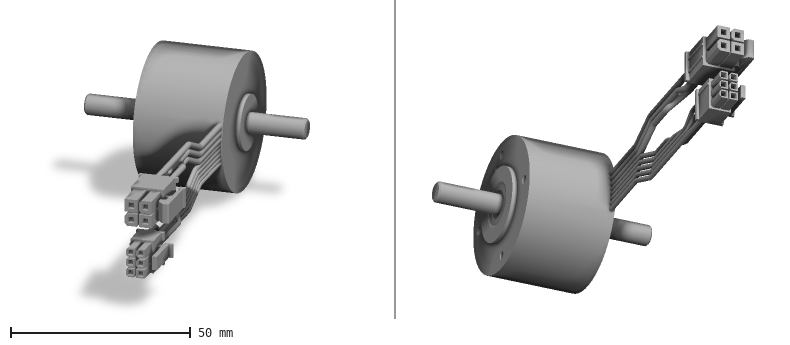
import cadquery as cq
import math


BODY_RADIUS = 20.0
BODY_LENGTH = 26.1
FRONT_BOSS_RADIUS = 11.0
REAR_BOSS_RADIUS = 8.0
BOSS_HEIGHT = 1.4

BEARING_RIM_RADIUS = 6.6
BEARING_FACE_RADIUS = 5.9
BEARING_RIM_DEPTH = 0.2
SHAFT_GAP_RADIUS = 4.15
SHAFT_GAP_DEPTH = 0.5

SCREW_HOLE_RADIUS = 1.25
SCREW_HOLE_DEPTH = 4.0
SCREW_CIRCLE_RADIUS = 16.0
SCREW_HOLE_COUNT = 4
DRILL_HALF_ANGLE = 59.0
DRILL_POINT_DEPTH = SCREW_HOLE_RADIUS / math.tan(math.radians(DRILL_HALF_ANGLE))
LOCATING_HOLE_RADIUS = 1.25
LOCATING_HOLE_DEPTH = 2.0
LOCATING_CIRCLE_RADIUS = 13.5
LOCATING_HOLE_ANGLE = 75.0

SHAFT_RADIUS = 3.0
SHAFT_LENGTH = 64.5
SHAFT_FRONT_END = -20.0
SHAFT_CHAMFER = 0.5

LEAD_START_Y = -17.0
LEAD_INSERTION = 2.0
LEAD_BEND_RADIUS = 3.0
FAN_RUN = 10.1
FAN_STAGGER = 1.05

POWER_LEAD_RADIUS = 0.9
POWER_LEAD_PITCH = 1.85
POWER_TOP_Z = 5.4
POWER_FAN_RISE = 4.4
POWER_BEND_Y = -36.9

SIGNAL_LEAD_RADIUS = 0.7
SIGNAL_LEAD_PITCH = 1.42
SIGNAL_TOP_Z = 0.1
SIGNAL_FAN_DROP = 4.25
SIGNAL_BEND_Y = -36.7

CONNECTOR_END_Y = -98.9
POWER_SETBACK = 0.3
FLANGE_THICKNESS = 1.15
LATCH_CLEARANCE = 0.5
GUIDE_RIB_HEIGHT = 0.4
GUIDE_RIB_WIDTH = 0.6

POWER_CONNECTOR = dict(
    columns=[25.1, 29.3],
    rows=[9.9, 5.7],
    pin_block=3.7,
    block_chamfer=0.8,
    cavity=1.75,
    chamfered_pins=[(1, 0), (0, 1)],
    body_width=9.5,
    body_height=9.2,
    flange_margin=1.0,
    flange_y=-79.3,
    shoulder_y=-90.2,
    end_y=CONNECTOR_END_Y + POWER_SETBACK,
    rib_rows=[9.85, 5.85],
)
SIGNAL_CONNECTOR = dict(
    columns=[25.0, 28.0],
    rows=[-3.9, -6.9, -9.9],
    pin_block=2.5,
    block_chamfer=0.6,
    cavity=1.6,
    chamfered_pins=[(0, 0), (0, 1), (0, 2), (1, 0), (1, 1)],
    body_width=6.7,
    body_height=9.6,
    flange_margin=0.75,
    flange_y=-84.6,
    shoulder_y=-92.7,
    end_y=CONNECTOR_END_Y,
    rib_rows=[-3.9],
)

POWER_LATCH_WIDTH = 5.7
POWER_LATCH_ARM_WIDTH = 4.4
POWER_LATCH_TOP_X = 35.8
POWER_LEVER_X = (33.6, 35.4)
POWER_LEVER_Y = (-96.4, -81.7)
POWER_STEP_X = 34.7
POWER_GRIP_X = 34.0
POWER_GRIP_LENGTH = 1.5
POWER_ROOT_Y = (-89.3, -88.0)
POWER_HOOK_TIP_X = 32.0
POWER_HOOK_Y = -92.9
POWER_HOOK_LEAD_IN = 1.6
POWER_LEVER_CHAMFER = 0.4

SIGNAL_LATCH_WIDTH = 4.0
SIGNAL_LEVER_X = (30.9, 32.3)
SIGNAL_LATCH_TOP_X = 33.4
SIGNAL_LEVER_Y = (-97.3, -85.8)
SIGNAL_GRIP_LENGTH = 0.8
SIGNAL_ROOT_Y = (-89.0, -87.5)


def box_between(x_range, y_range, z_range):
    """Box spanning the given (low, high) ranges."""
    size = [high - low for low, high in (x_range, y_range, z_range)]
    corner = cq.Vector(x_range[0], y_range[0], z_range[0])
    return cq.Workplane(obj=cq.Solid.makeBox(*size, corner))


def span(centre, size):
    """Low and high ends of a size centred on a place."""
    return (centre - size / 2, centre + size / 2)


def disc(radius, x_start, length):
    """Cylinder along +X, centred on the motor axis."""
    return cq.Workplane("YZ", origin=(x_start, 0, 0)).circle(radius).extrude(length)


def make_screw_hole(angle):
    """Drilled hole with a conical bottom in the mounting face."""
    y = SCREW_CIRCLE_RADIUS * math.cos(angle)
    z = SCREW_CIRCLE_RADIUS * math.sin(angle)
    profile = [
        (0, 0),
        (0, SCREW_HOLE_RADIUS),
        (SCREW_HOLE_DEPTH, SCREW_HOLE_RADIUS),
        (SCREW_HOLE_DEPTH + DRILL_POINT_DEPTH, 0),
    ]
    hole = cq.Workplane("XY").polyline(profile).close().revolve(360, (0, 0), (1, 0))
    return hole.translate((0, y, z))


def make_locating_hole():
    angle = math.radians(LOCATING_HOLE_ANGLE)
    y = LOCATING_CIRCLE_RADIUS * math.cos(angle)
    z = LOCATING_CIRCLE_RADIUS * math.sin(angle)
    return disc(LOCATING_HOLE_RADIUS, 0, LOCATING_HOLE_DEPTH).translate((0, y, z))


def make_bearing_recess():
    """Recess with a sloped rim, and a deeper ring next to the shaft."""
    face_x = -BOSS_HEIGHT
    floor_x = face_x + BEARING_RIM_DEPTH
    gap_x = face_x + SHAFT_GAP_DEPTH
    profile = [
        (face_x, 0),
        (face_x, BEARING_RIM_RADIUS),
        (floor_x, BEARING_FACE_RADIUS),
        (floor_x, SHAFT_GAP_RADIUS),
        (gap_x, SHAFT_GAP_RADIUS),
        (gap_x, 0),
    ]
    return cq.Workplane("XY").polyline(profile).close().revolve(360, (0, 0), (1, 0))


def make_housing():
    housing = disc(BODY_RADIUS, 0, BODY_LENGTH)
    housing = housing.union(disc(FRONT_BOSS_RADIUS, -BOSS_HEIGHT, BOSS_HEIGHT))
    housing = housing.union(disc(REAR_BOSS_RADIUS, BODY_LENGTH, BOSS_HEIGHT))
    for index in range(SCREW_HOLE_COUNT):
        housing = housing.cut(make_screw_hole(2 * math.pi * index / SCREW_HOLE_COUNT))
    housing = housing.cut(make_locating_hole())
    housing = housing.cut(make_bearing_recess())
    shaft_bore = disc(SHAFT_RADIUS, -BOSS_HEIGHT, BODY_LENGTH + 2 * BOSS_HEIGHT)
    return housing.cut(shaft_bore)


def make_lead(points, radius):
    """Round lead along a bent line, with an arc at each inner point."""
    points = [cq.Vector(*point) for point in points]
    edges = []
    start = points[0]
    for before, corner, after in zip(points, points[1:], points[2:]):
        incoming = (corner - before).normalized()
        outgoing = (after - corner).normalized()
        half_turn = incoming.getAngle(outgoing) / 2
        tangent_length = LEAD_BEND_RADIUS * math.tan(half_turn)
        sagitta = LEAD_BEND_RADIUS * (1 / math.cos(half_turn) - 1)
        arc_start = corner - incoming * tangent_length
        arc_middle = corner + (outgoing - incoming).normalized() * sagitta
        arc_end = corner + outgoing * tangent_length
        edges.append(cq.Edge.makeLine(start, arc_start))
        edges.append(cq.Edge.makeThreePointArc(arc_start, arc_middle, arc_end))
        start = arc_end
    edges.append(cq.Edge.makeLine(start, points[-1]))
    path = cq.Wire.assembleEdges(edges)
    section = cq.Workplane(cq.Plane(points[0], (1, 0, 0), (0, -1, 0))).circle(radius)
    return section.sweep(cq.Workplane(obj=path))


def lead_points(start_z, bend_y, fan_rise, connector, pin, spread=None):
    """Lead from the housing, through the fanned ribbon in line with the first column, to a pin (column, row).

    The spread, when given, holds the Y places where the lead leaves the ribbon and reaches its pin line.
    """
    lead_x = connector["columns"][0]
    fan_z = start_z + fan_rise
    points = [(lead_x, LEAD_START_Y, start_z), (lead_x, bend_y, start_z), (lead_x, bend_y - FAN_RUN, fan_z)]
    end_y = connector["flange_y"] - LEAD_INSERTION
    if spread is None:
        return points + [(lead_x, end_y, fan_z)]
    leave_y, reach_y = spread
    column, row = pin
    pin_x = connector["columns"][column]
    pin_z = connector["rows"][row]
    return points + [(lead_x, leave_y, fan_z), (pin_x, reach_y, pin_z), (pin_x, end_y, pin_z)]


def make_power_leads():
    pins = [(0, 0), (0, 1), (1, 0)]
    spreads = [None, (-66.1, -71.8), (-58.4, -64.2)]
    leads = []
    for index, (pin, spread) in enumerate(zip(pins, spreads)):
        start_z = POWER_TOP_Z - index * POWER_LEAD_PITCH
        bend_y = POWER_BEND_Y - index * FAN_STAGGER
        points = lead_points(start_z, bend_y, POWER_FAN_RISE, POWER_CONNECTOR, pin, spread)
        leads.append(make_lead(points, POWER_LEAD_RADIUS))
    return leads


def make_signal_leads():
    pins = [(1, 1), (1, 0), (0, 0), (0, 1), (0, 2)]
    spreads = [(-59.5, -64.0), (-64.0, -69.0), (-72.2, -76.7), (-73.1, -77.8), None]
    leads = []
    for index, (pin, spread) in enumerate(zip(pins, spreads)):
        start_z = SIGNAL_TOP_Z - index * SIGNAL_LEAD_PITCH
        bend_y = SIGNAL_BEND_Y - (len(pins) - 1 - index) * FAN_STAGGER
        points = lead_points(start_z, bend_y, -SIGNAL_FAN_DROP, SIGNAL_CONNECTOR, pin, spread)
        leads.append(make_lead(points, SIGNAL_LEAD_RADIUS))
    return leads


def make_connector(spec, latch_width):
    """Flanged body with one plug block and one cavity per pin; the last pin is open right through."""
    centre_x = sum(spec["columns"]) / len(spec["columns"])
    centre_z = sum(spec["rows"]) / len(spec["rows"])
    body_x = span(centre_x, spec["body_width"])
    body_z = span(centre_z, spec["body_height"])
    flange_y = spec["flange_y"]
    shoulder_y = spec["shoulder_y"]
    end_y = spec["end_y"]
    flange_y_range = (flange_y - FLANGE_THICKNESS, flange_y)

    connector = box_between(body_x, (shoulder_y, flange_y), body_z)
    flange_x = span(centre_x, spec["body_width"] + 2 * spec["flange_margin"])
    connector = connector.union(box_between(flange_x, flange_y_range, body_z))
    gap_z = span(centre_z, latch_width + 2 * LATCH_CLEARANCE)
    latch_gap = box_between((body_x[1], flange_x[1]), flange_y_range, gap_z)
    connector = connector.cut(latch_gap)

    for row_z in spec["rib_rows"]:
        rib_x = (body_x[0] - GUIDE_RIB_HEIGHT, body_x[0])
        rib = box_between(rib_x, (shoulder_y, flange_y), span(row_z, GUIDE_RIB_WIDTH))
        connector = connector.union(rib)

    open_pin = (len(spec["columns"]) - 1, len(spec["rows"]) - 1)
    for column, x in enumerate(spec["columns"]):
        for row, z in enumerate(spec["rows"]):
            block = box_between(span(x, spec["pin_block"]), (end_y, shoulder_y), span(z, spec["pin_block"]))
            if (column, row) in spec["chamfered_pins"]:
                block = block.faces("<X").edges("|Y").chamfer(spec["block_chamfer"])
            connector = connector.union(block)
            cavity_end = flange_y if (column, row) == open_pin else shoulder_y
            cavity = box_between(span(x, spec["cavity"]), (end_y, cavity_end), span(z, spec["cavity"]))
            connector = connector.cut(cavity)
    return connector


def extrude_latch(outline, centre_z, width):
    """Latch profile in the XY plane, extruded evenly to both sides of a height."""
    return cq.Workplane("XY", origin=(0, 0, centre_z)).polyline(outline).close().extrude(width / 2, both=True)


def make_power_latch():
    """Lever with a grip at the top and a hook at the tip, held by a narrower arm."""
    centre_x = sum(POWER_CONNECTOR["columns"]) / 2
    centre_z = sum(POWER_CONNECTOR["rows"]) / 2
    body_side = centre_x + POWER_CONNECTOR["body_width"] / 2
    inner_x, outer_x = POWER_LEVER_X
    tip_y, top_y = POWER_LEVER_Y
    grip_y = top_y - POWER_GRIP_LENGTH
    lever = extrude_latch(
        [
            (POWER_GRIP_X, top_y),
            (POWER_LATCH_TOP_X, top_y),
            (POWER_LATCH_TOP_X, grip_y),
            (outer_x, grip_y),
            (outer_x, tip_y + POWER_LEVER_CHAMFER),
            (outer_x - POWER_LEVER_CHAMFER, tip_y),
            (POWER_HOOK_TIP_X + POWER_HOOK_LEAD_IN, tip_y),
            (POWER_HOOK_TIP_X, tip_y + POWER_HOOK_LEAD_IN),
            (POWER_HOOK_TIP_X, POWER_HOOK_Y),
            (inner_x, POWER_HOOK_Y),
            (inner_x, grip_y),
            (POWER_GRIP_X, grip_y),
        ],
        centre_z,
        POWER_LATCH_WIDTH,
    )
    root_low, root_high = POWER_ROOT_Y
    inner_strip = box_between((inner_x, POWER_STEP_X), (root_low, grip_y), span(centre_z, POWER_LATCH_WIDTH))
    arm_z = span(centre_z, POWER_LATCH_ARM_WIDTH)
    narrow_strip = box_between((inner_x, POWER_STEP_X), (root_low, grip_y), arm_z)
    root = box_between((body_side, inner_x), (root_low, root_high), arm_z)
    return lever.cut(inner_strip).union(narrow_strip).union(root)


def make_signal_latch():
    """Lever with an outward grip at the top, held by a short root on the body."""
    centre_x = sum(SIGNAL_CONNECTOR["columns"]) / 2
    centre_z = SIGNAL_CONNECTOR["rows"][1]
    body_side = centre_x + SIGNAL_CONNECTOR["body_width"] / 2
    inner_x, outer_x = SIGNAL_LEVER_X
    tip_y, top_y = SIGNAL_LEVER_Y
    grip_y = top_y - SIGNAL_GRIP_LENGTH
    root_low, root_high = SIGNAL_ROOT_Y
    return extrude_latch(
        [
            (inner_x, top_y),
            (SIGNAL_LATCH_TOP_X, top_y),
            (SIGNAL_LATCH_TOP_X, grip_y),
            (outer_x, grip_y),
            (outer_x, tip_y),
            (inner_x, tip_y),
            (inner_x, root_low),
            (body_side, root_low),
            (body_side, root_high),
            (inner_x, root_high),
        ],
        centre_z,
        SIGNAL_LATCH_WIDTH,
    )


def make_motor():
    power_connector = make_connector(POWER_CONNECTOR, POWER_LATCH_WIDTH).union(make_power_latch())
    signal_connector = make_connector(SIGNAL_CONNECTOR, SIGNAL_LATCH_WIDTH).union(make_signal_latch())
    motor = make_housing().union(power_connector).union(signal_connector)
    for lead in make_power_leads() + make_signal_leads():
        motor = motor.union(lead)
    return motor


def make_shaft():
    return disc(SHAFT_RADIUS, SHAFT_FRONT_END, SHAFT_LENGTH).faces("<X or >X").chamfer(SHAFT_CHAMFER)


motor = make_motor()
shaft = make_shaft()

result = cq.Compound.makeCompound([*motor.solids().vals(), shaft.val()])